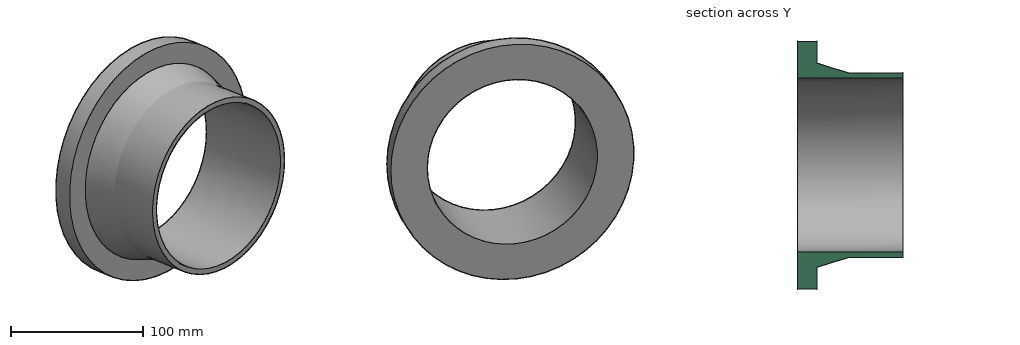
import cadquery as cq

total_length = 80.0
flange_thickness = 15.0
cone_length = 24.0

flange_diameter = 188.0
cone_base_diameter = 155.0
neck_diameter = 140.0
bore_diameter = 131.5

flange_radius = flange_diameter / 2
cone_base_radius = cone_base_diameter / 2
neck_radius = neck_diameter / 2
bore_radius = bore_diameter / 2
cone_end = flange_thickness + cone_length

section = (
    cq.Workplane("XY")
    .moveTo(0, bore_radius)
    .lineTo(0, flange_radius)
    .lineTo(flange_thickness, flange_radius)
    .lineTo(flange_thickness, cone_base_radius)
    .lineTo(cone_end, neck_radius)
    .lineTo(total_length, neck_radius)
    .lineTo(total_length, bore_radius)
    .close()
)

result = section.revolve(360, (0, 0, 0), (1, 0, 0))